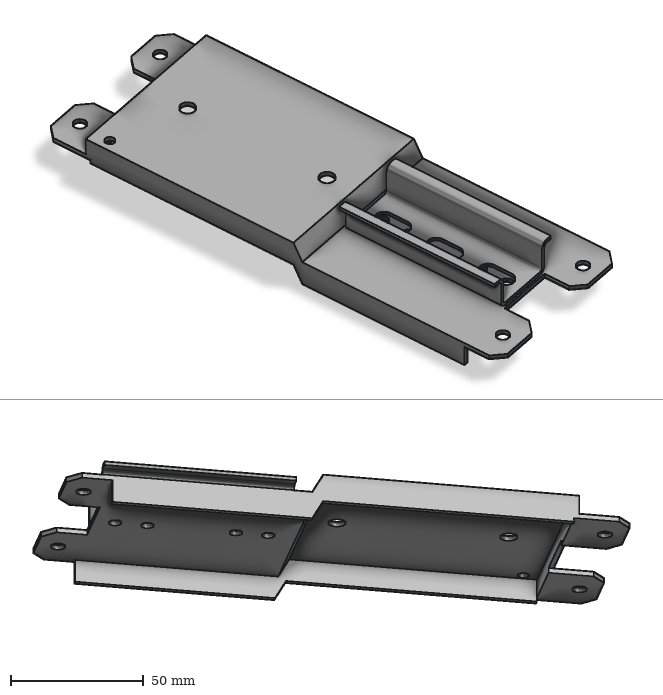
import cadquery as cq
import math

total_length = 216.2
width = 75.0
sheet = 2.0
low_top = 11.0
step_height = 7.5
high_top = low_top + step_height
tab_bottom = low_top - sheet

body_start = 20.3
body_end = 199.5
slope_start = 118.6
slope_end = 122.8

tab_width = 25.0
tab_chamfer = 5.0
tab_hole_inset = 8.0
tab_hole_diameter = 5.5
tab_center_y = (width - tab_width) / 2

deck_hole_diameter = 6.5
deck_hole_xs = (40.0, 106.0)
pin_hole_diameter = 4.2
pin_hole_x = 28.0
pin_hole_y = -32.7

rail_start = 125.0
rail_length = 73.6
rail_center_x = rail_start + rail_length / 2
rail_width = 35.0
rail_height = 15.0
rail_channel_width = 27.0
rail_sheet = 1.5
bend_inner = 1.5
bend_outer = bend_inner + rail_sheet

slot_length = 15.6
slot_width = 7.3
slot_pitch = 24.6

rail_hole_diameter = 4.8
rail_hole_offsets = (17.0, 29.4)


def box(x_start, x_end, y_size, z_start, z_end, y_center=0.0):
    """Block given by its X and Z limits and its centred Y size."""
    size = (x_end - x_start, y_size, z_end - z_start)
    corner = (x_start, y_center - y_size / 2, z_start)
    return cq.Workplane("XY").box(*size, centered=False).translate(corner)


def drill(x, y, diameter):
    """Vertical cutter tall enough to pass through either deck."""
    return cq.Workplane("XY").center(x, y).circle(diameter / 2).extrude(high_top)


def folded_shell():
    """Stepped deck with an end wall and two side flanges, hollow below."""
    outer = (
        cq.Workplane("XZ")
        .moveTo(body_start, tab_bottom)
        .lineTo(body_start, high_top)
        .lineTo(slope_start, high_top)
        .lineTo(slope_end, low_top)
        .lineTo(body_end, low_top)
        .lineTo(body_end, 0)
        .lineTo(slope_end, 0)
        .lineTo(slope_start, step_height)
        .lineTo(body_start + sheet, step_height)
        .lineTo(body_start + sheet, tab_bottom)
        .close()
        .extrude(width / 2, both=True)
    )
    slope_angle = math.atan2(step_height, slope_end - slope_start)
    fold_shift = sheet * math.tan(slope_angle / 2)
    cavity = (
        cq.Workplane("XZ")
        .moveTo(body_start + sheet, 0)
        .lineTo(body_start + sheet, high_top - sheet)
        .lineTo(slope_start - fold_shift, high_top - sheet)
        .lineTo(slope_end - fold_shift, tab_bottom)
        .lineTo(body_end, tab_bottom)
        .lineTo(body_end, 0)
        .close()
        .extrude(width / 2 - sheet, both=True)
    )
    wall_gap = box(body_start, body_start + sheet, width - 2 * tab_width, tab_bottom, low_top)
    return outer.cut(cavity).cut(wall_gap)


def tab(x_start, x_end, y, outer_side):
    """Flat ear with its two free corners cut off."""
    ear = box(x_start, x_end, tab_width, tab_bottom, low_top, y)
    return ear.faces(outer_side).edges("|Z").chamfer(tab_chamfer)


def make_bracket():
    body = folded_shell()
    for y in (-tab_center_y, tab_center_y):
        body = body.union(tab(0, body_start, y, "<X"))
        body = body.union(tab(body_end, total_length, y, ">X"))
        for x in (tab_hole_inset, total_length - tab_hole_inset):
            body = body.cut(drill(x, y, tab_hole_diameter))
    for x in deck_hole_xs:
        body = body.cut(drill(x, 0, deck_hole_diameter))
    body = body.cut(drill(pin_hole_x, pin_hole_y, pin_hole_diameter))
    for offset in rail_hole_offsets:
        for side in (-1, 1):
            body = body.cut(drill(rail_center_x + side * offset, 0, rail_hole_diameter))
    return body


def rail_half():
    """Half of the rail on +Y: base, upright wall and outward lip, joined by round bends."""
    wall_outer = rail_channel_width / 2
    wall_inner = wall_outer - rail_sheet
    top = low_top + rail_height
    base_bend_y = wall_outer - bend_outer
    base_bend_z = low_top + bend_outer
    lip_bend_y = wall_inner + bend_outer
    lip_bend_z = top - bend_outer
    return (
        cq.Workplane("YZ", origin=(rail_start, 0, 0))
        .moveTo(0, low_top)
        .lineTo(base_bend_y, low_top)
        .radiusArc((wall_outer, base_bend_z), -bend_outer)
        .lineTo(wall_outer, lip_bend_z)
        .radiusArc((lip_bend_y, top - rail_sheet), bend_inner)
        .lineTo(rail_width / 2, top - rail_sheet)
        .lineTo(rail_width / 2, top)
        .lineTo(lip_bend_y, top)
        .radiusArc((wall_inner, lip_bend_z), -bend_outer)
        .lineTo(wall_inner, base_bend_z)
        .radiusArc((base_bend_y, low_top + rail_sheet), bend_inner)
        .lineTo(0, low_top + rail_sheet)
        .close()
        .extrude(rail_length)
    )


def make_rail():
    half = rail_half()
    body = half.union(half.mirror("XZ"))
    slots = (
        cq.Workplane("XY", origin=(rail_center_x, 0, low_top))
        .pushPoints([(i * slot_pitch, 0) for i in (-1, 0, 1)])
        .slot2D(slot_length, slot_width)
        .extrude(rail_sheet)
    )
    return body.cut(slots)


bracket = make_bracket()
rail = make_rail()
result = cq.Compound.makeCompound([bracket.solids().val(), rail.solids().val()])